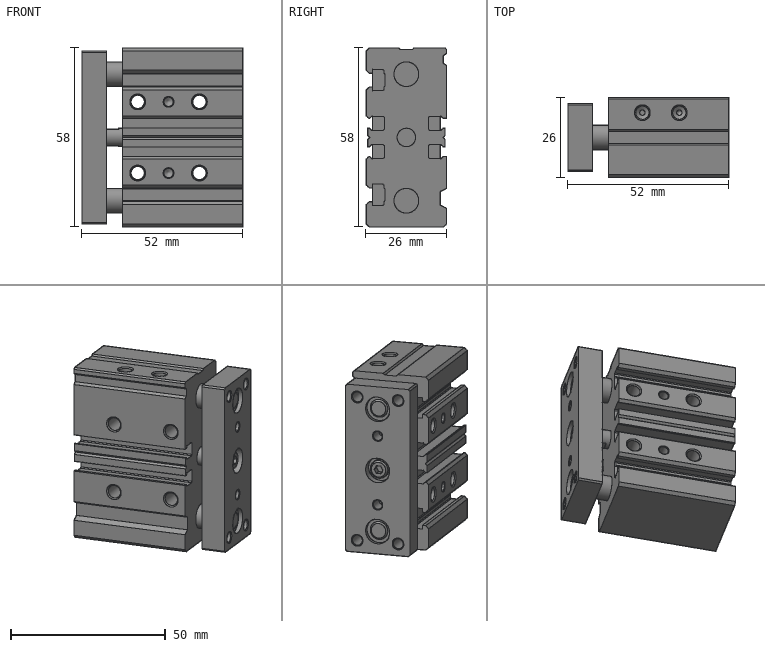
import cadquery as cq
import math


plate_thickness = 8.0
rod_gap = 5.05
housing_length = 39.0
housing_width = 26.0
housing_height = 58.0
plate_width = 22.0
plate_height = 56.0
plate_chamfer = 0.5

housing_start = plate_thickness + rod_gap
housing_end = housing_start + housing_length
half_width = housing_width / 2
half_height = housing_height / 2

edge_chamfer = 1.0
small_edge_chamfer = 0.5

guide_spacing = 40.95
guide_diameter = 8.0
piston_diameter = 6.0
rod_end_diameter = piston_diameter
rod_end_chamfer = 0.5
rod_end_depth = 0.9
wrench_flat_width = 5.45
wrench_flat_gap = 1.2
hex_across_flats = 2.55
hex_depth = 2.3

recess_diameter = 8.2
guide_recess_depth = rod_end_depth + rod_end_chamfer
piston_recess_depth = 3.0

hole_spacing_z = 23.0
mount_hole_diameter = 4.3
mount_hole_chamfer = 0.4
mount_hole_positions = (18.05, 38.0)
pin_diameter = 3.0
pin_chamfer = 0.25
pin_depth = 5.8
pin_position = 28.0
drill_tip_angle = 118.0
corner_spacing_y = 14.0
corner_spacing_z = 48.0
corner_hole_diameter = 3.35
corner_hole_chamfer = 0.3

flat_port_x = 24.05
pointed_port_x = 36.0
port_y = 8.0
port_depth = 6.95
port_passage_diameter = 1.75
port_passage_depth = 9.85

t_slot_z = 18.55
t_throat_width = 4.4
t_lip_depth = 2.1
t_head_width = 6.85
t_head_depth = 5.7
t_relief_depth = 6.05
t_corner = 0.3

sensor_z = 4.6
sensor_throat_width = 3.15
sensor_lip_depth = 1.1
sensor_flare = 0.7
sensor_depth = 5.85
sensor_corner = 0.35
sensor_mouth_chamfer = 0.85
rib_setback = 0.45
rib_groove = 0.65

top_groove_width = 5.0
top_groove_depth = 0.5
notch_z = 25.25
notch_width = 3.8
notch_depth = 1.0
notch_taper = 0.7
side_groove_z = -19.7
side_groove_width = 6.4
side_groove_depth = 2.1
side_groove_taper = 1.05


def along_housing(points):
    """Prism of the housing's length with a closed outline of (y, z) points."""
    return cq.Workplane("YZ", origin=(housing_start, 0, 0)).polyline(points).close().extrude(housing_length)


def side_slot(side, centre_z, steps):
    """Slot cutter in a Y face: steps are (depth below the face, half width) from mouth to floor."""
    upper = [(side * (half_width - depth), centre_z + half) for depth, half in steps]
    lower = [(side * (half_width - depth), centre_z - half) for depth, half in reversed(steps)]
    return along_housing(upper + lower)


def rod_x(diameter, start, end, z):
    return cq.Workplane("YZ", origin=(start, 0, z)).circle(diameter / 2).extrude(end - start)


def drill(origin, direction, diameter, depth, chamfer, pointed):
    """Drill cutter with a countersunk mouth and, if pointed, a conical tip below its depth."""
    radius = diameter / 2
    start = cq.Vector(*origin)
    axis = cq.Vector(*direction)
    cutter = cq.Solid.makeCylinder(radius, depth, start, axis)
    if chamfer:
        cutter = cutter.fuse(cq.Solid.makeCone(radius + chamfer, radius, chamfer, start, axis))
    if pointed:
        tip_height = radius / math.tan(math.radians(drill_tip_angle / 2))
        cutter = cutter.fuse(cq.Solid.makeCone(radius, 0, tip_height, start + axis * depth, axis))
    return cq.Workplane(cutter)


def housing_block():
    outline = [
        (-half_width, -half_height + edge_chamfer),
        (-half_width + edge_chamfer, -half_height),
        (half_width - edge_chamfer, -half_height),
        (half_width, -half_height + edge_chamfer),
        (half_width, half_height - small_edge_chamfer),
        (half_width - small_edge_chamfer, half_height),
        (-half_width + edge_chamfer, half_height),
        (-half_width, half_height - edge_chamfer),
    ]
    return along_housing(outline)


def t_slot(centre_z):
    throat = t_throat_width / 2
    head = t_head_width / 2
    return side_slot(-1, centre_z, [
        (0, throat + edge_chamfer),
        (edge_chamfer, throat),
        (t_lip_depth, throat),
        (t_lip_depth, head),
        (t_head_depth - t_corner, head),
        (t_head_depth, head - t_corner),
        (t_head_depth, throat),
        (t_relief_depth - t_corner, throat),
        (t_relief_depth, throat - t_corner),
    ])


def sensor_slot(side, centre_z):
    throat = sensor_throat_width / 2
    inner = throat + sensor_flare
    return side_slot(side, centre_z, [
        (0, throat),
        (sensor_lip_depth, throat),
        (sensor_lip_depth + sensor_flare, inner),
        (sensor_depth - sensor_corner, inner),
        (sensor_depth, inner - sensor_corner),
    ])


def rib_relief(side):
    """Sets the rib back from the face and cuts the V groove along its middle."""
    band = sensor_z + sensor_throat_width / 2
    face = side_slot(side, 0, [(0, band), (rib_setback, band)])
    groove_tip = side * (half_width - rib_setback - rib_groove)
    rib_face = side * (half_width - rib_setback)
    groove = along_housing([(rib_face, rib_groove), (groove_tip, 0), (rib_face, -rib_groove)])
    return face.union(groove)


def sensor_mouth(centre_sign):
    """Chamfer on the -Y face along the outer edge of a sensor slot."""
    edge = centre_sign * (sensor_z + sensor_throat_width / 2)
    return along_housing([
        (-half_width, edge),
        (-half_width, edge + centre_sign * sensor_mouth_chamfer),
        (-half_width + sensor_mouth_chamfer, edge),
    ])


def top_groove():
    half = top_groove_width / 2
    floor = half_height - top_groove_depth
    inner = half - top_groove_depth
    return along_housing([(-half, half_height), (-inner, floor), (inner, floor), (half, half_height)])


def tapered_groove(centre_z, width, depth, taper):
    """Groove in the +Y face whose floor is narrower than its mouth."""
    return side_slot(1, centre_z, [(0, width / 2), (depth, width / 2 - taper)])


def air_port(x, pointed_passage):
    """Threaded port with a thin passage that runs on from its conical bottom."""
    mouth = (x, port_y, half_height)
    port = drill(mouth, (0, 0, -1), mount_hole_diameter, port_depth, mount_hole_chamfer, True)
    passage_depth = port_passage_depth - port_depth
    passage_start = (x, port_y, half_height - port_depth)
    return port.union(drill(passage_start, (0, 0, -1), port_passage_diameter, passage_depth, 0, pointed_passage))


def make_housing():
    body = housing_block().cut(top_groove())
    body = body.cut(tapered_groove(notch_z, notch_width, notch_depth, notch_taper))
    body = body.cut(tapered_groove(side_groove_z, side_groove_width, side_groove_depth, side_groove_taper))
    for side in (-1, 1):
        body = body.cut(rib_relief(side))
        for sign in (-1, 1):
            body = body.cut(sensor_slot(side, sign * sensor_z))
    for sign in (-1, 1):
        body = body.cut(t_slot(sign * t_slot_z))
        body = body.cut(sensor_mouth(sign))
        hole_z = sign * hole_spacing_z / 2
        for x in mount_hole_positions:
            for side in (-1, 1):
                mouth = (x, side * half_width, hole_z)
                body = body.cut(
                    drill(mouth, (0, -side, 0), mount_hole_diameter, half_width, mount_hole_chamfer, False)
                )
        pin_mouth = (pin_position, -half_width, hole_z)
        body = body.cut(drill(pin_mouth, (0, 1, 0), pin_diameter, pin_depth, pin_chamfer, True))
        body = body.cut(rod_x(guide_diameter, housing_start, housing_end, sign * guide_spacing / 2))
    body = body.cut(air_port(flat_port_x, False))
    body = body.cut(air_port(pointed_port_x, True))
    return body.cut(rod_x(piston_diameter, housing_start, housing_end, 0))


def make_plate():
    plate = (
        cq.Workplane("YZ")
        .rect(plate_width, plate_height)
        .extrude(plate_thickness)
        .edges("|X")
        .chamfer(plate_chamfer)
    )
    for z in (-guide_spacing / 2, 0, guide_spacing / 2):
        recess_depth = guide_recess_depth if z else piston_recess_depth
        plate = plate.cut(rod_x(recess_diameter, 0, recess_depth, z))
        plate = plate.cut(rod_x(rod_end_diameter, 0, plate_thickness, z))
    for z in (-hole_spacing_z / 2, hole_spacing_z / 2):
        plate = plate.cut(drill((0, 0, z), (1, 0, 0), pin_diameter, pin_depth, pin_chamfer, True))
    for y in (-corner_spacing_y / 2, corner_spacing_y / 2):
        for z in (-corner_spacing_z / 2, corner_spacing_z / 2):
            plate = plate.cut(
                drill((0, y, z), (1, 0, 0), corner_hole_diameter, plate_thickness, corner_hole_chamfer, False)
            )
    return plate


def chamfered_end(end_x, z):
    """Rod end in the plate, from its chamfered tip to end_x."""
    return rod_x(rod_end_diameter, rod_end_depth, end_x, z).faces("<X").chamfer(rod_end_chamfer)


def make_guide_rod(z):
    return chamfered_end(plate_thickness, z).union(rod_x(guide_diameter, plate_thickness, housing_end, z))


def wrench_flats():
    """Cutter for the two flats between the plate and the housing."""
    flats_end = housing_start - wrench_flat_gap
    ring = rod_x(2 * piston_diameter, plate_thickness, flats_end, 0)
    core = (
        cq.Workplane("YZ", origin=(plate_thickness, 0, 0))
        .rect(2 * piston_diameter, wrench_flat_width)
        .extrude(flats_end - plate_thickness)
    )
    return ring.cut(core)


def hex_socket():
    across_corners = hex_across_flats / math.cos(math.pi / 6)
    start = cq.Workplane("YZ", origin=(rod_end_depth, 0, 0))
    return start.polygon(6, across_corners).extrude(hex_depth)


def make_piston_rod():
    return chamfered_end(housing_end, 0).cut(wrench_flats()).cut(hex_socket())


housing = make_housing()
plate = make_plate()
piston_rod = make_piston_rod()
guide_rods = [make_guide_rod(sign * guide_spacing / 2) for sign in (-1, 1)]

result = cq.Compound.makeCompound(
    [housing.val(), plate.val(), piston_rod.val(), *[rod.val() for rod in guide_rods]]
)